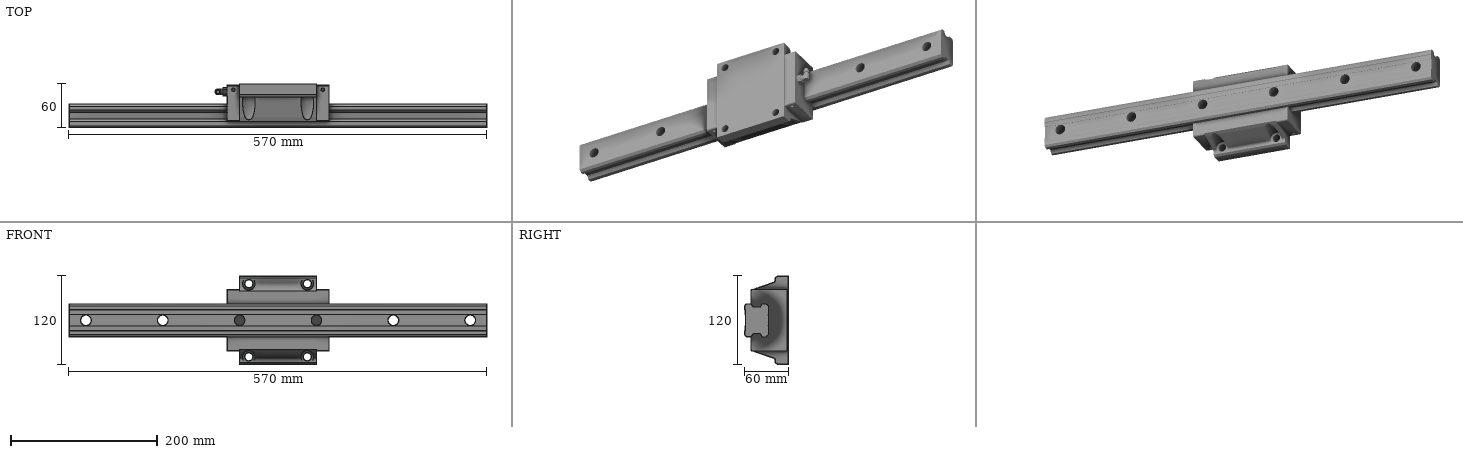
import cadquery as cq
import math


RAIL_LENGTH = 570.0
RAIL_HEIGHT = 32.5
RAIL_WIDTH = 45.0
RAIL_FACE_WIDTH = 39.5
WAIST_WIDTH = 36.0
FOOT_CHAMFER_TOP = 2.0
FOOT_TOP = 8.5
WAIST_BOTTOM = 12.0
WAIST_TOP = 21.0
HEAD_BOTTOM = 24.0
HEAD_CHAMFER_BOTTOM = 29.0

RELIEF_WIDTH = 29.5
RELIEF_DEPTH = 0.5
STRIP_WIDTH = 15.5
STRIP_DEPTH = 0.3

RAIL_HOLE_COUNT = 6
RAIL_HOLE_PITCH = 105.0
RAIL_HOLE_DIAMETER = 14.0

GUIDE_HEIGHT = 60.0
CARRIAGE_BOTTOM = FOOT_TOP
CARRIAGE_LENGTH = 139.0
BLOCK_LENGTH = 105.5
FLANGE_WIDTH = 120.0
FLANGE_UNDERSIDE = 41.5
FLANGE_CHAMFER_INSET = 2.0
FLANGE_CHAMFER_RISE = 3.5
SLOPE_TOP_WIDTH = 105.0
SLOPE_BOTTOM = 13.5
SLOPE_BOTTOM_WIDTH = 85.5
BLOCK_BOTTOM_WIDTH = 80.5
SLOPE_ROOT_RADIUS = 3.0

CAP_WIDTH = 84.5
CAP_TOP = 58.0
CAP_EDGE_CHAMFER = 1.0
CAP_HOLE_DIAMETER = 4.5
CAP_HOLE_DEPTH = 5.5
CAP_HOLE_SPACING = 122.0
CAP_HOLE_Y = 52.0

MOUNT_HOLE_DIAMETER = 11.0
MOUNT_SPACING_X = 80.0
MOUNT_SPACING_Z = 100.0
SPOTFACE_DIAMETER = 17.0

NIPPLE_Y = 49.0
HEX_FLATS = 10.0
HEX_THICKNESS = 5.5
ELBOW_DIAMETER = 8.0
ELBOW_REACH = 12.5
ELBOW_TOP = 4.5
NECK_DIAMETER = 5.5
NECK_TOP = 7.0
HEAD_TAPER_START = 9.5
NIPPLE_TOP = 13.5
TIP_DIAMETER = 4.5


def extrude_along_x(section, length):
    """Extrude a closed list of (Y, Z) points, centred on X = 0."""
    return cq.Workplane("YZ").polyline(section).close().extrude(length / 2, both=True)


def mirrored_section(half_section):
    """Close a half outline of (Y, Z) points with its mirror image across Z = 0."""
    return half_section + [(y, -z) for y, z in reversed(half_section)]


def box_between(length, bottom, top, width):
    """A box from one Y height to another, centred on X = 0 and Z = 0."""
    return (
        cq.Workplane("XY")
        .box(length, top - bottom, width)
        .translate((0, (bottom + top) / 2, 0))
    )


def make_rail_bar():
    """The grooved rail bar, before its relief and holes."""
    half_section = [
        (0, RAIL_FACE_WIDTH / 2),
        (FOOT_CHAMFER_TOP, RAIL_WIDTH / 2),
        (FOOT_TOP, RAIL_WIDTH / 2),
        (WAIST_BOTTOM, WAIST_WIDTH / 2),
        (WAIST_TOP, WAIST_WIDTH / 2),
        (HEAD_BOTTOM, RAIL_WIDTH / 2),
        (HEAD_CHAMFER_BOTTOM, RAIL_WIDTH / 2),
        (RAIL_HEIGHT, RAIL_FACE_WIDTH / 2),
    ]
    return extrude_along_x(mirrored_section(half_section), RAIL_LENGTH)


def make_rail():
    relief_half_section = [
        (0, RELIEF_WIDTH / 2),
        (RELIEF_DEPTH, RELIEF_WIDTH / 2 - RELIEF_DEPTH),
        (RELIEF_DEPTH, STRIP_WIDTH / 2),
        (RELIEF_DEPTH + STRIP_DEPTH, STRIP_WIDTH / 2),
    ]
    relief = extrude_along_x(mirrored_section(relief_half_section), RAIL_LENGTH)
    holes = (
        cq.Workplane("XZ")
        .rarray(RAIL_HOLE_PITCH, 5.5, RAIL_HOLE_COUNT, 1)
        .circle(RAIL_HOLE_DIAMETER / 2)
        .extrude(-RAIL_HEIGHT)
    )
    return make_rail_bar().cut(relief).cut(holes)


def make_block():
    """The flanged middle of the carriage, with sides sloping in below the flanges."""
    half_section = [
        (CARRIAGE_BOTTOM, BLOCK_BOTTOM_WIDTH / 2),
        (SLOPE_BOTTOM, SLOPE_BOTTOM_WIDTH / 2),
        (FLANGE_UNDERSIDE, SLOPE_TOP_WIDTH / 2),
        (FLANGE_UNDERSIDE, FLANGE_WIDTH / 2 - FLANGE_CHAMFER_INSET),
        (FLANGE_UNDERSIDE + FLANGE_CHAMFER_RISE, FLANGE_WIDTH / 2),
        (GUIDE_HEIGHT, FLANGE_WIDTH / 2),
    ]
    block = extrude_along_x(mirrored_section(half_section), BLOCK_LENGTH)

    def slope_root(side):
        """Select the corner where the slope on one side (-1 or 1 along Z) meets the flange."""
        reach = 0.05
        z = side * SLOPE_TOP_WIDTH / 2
        return cq.selectors.BoxSelector(
            (-BLOCK_LENGTH, FLANGE_UNDERSIDE - reach, z - reach),
            (BLOCK_LENGTH, FLANGE_UNDERSIDE + reach, z + reach),
        )

    return block.edges(slope_root(-1) + slope_root(1)).fillet(SLOPE_ROOT_RADIUS)


def make_mount_cut():
    """Bolt holes through the flanges, each with a spot face cut into the sloping side below."""
    layout = cq.Workplane("XZ").rarray(MOUNT_SPACING_X, MOUNT_SPACING_Z, 2, 2)
    holes = layout.circle(MOUNT_HOLE_DIAMETER / 2).extrude(-GUIDE_HEIGHT)
    spotfaces = layout.circle(SPOTFACE_DIAMETER / 2).extrude(-FLANGE_UNDERSIDE)
    return holes.union(spotfaces)


def make_end_caps():
    """The two end caps, with a blind hole in each of their +Z and -Z sides."""
    caps = box_between(CARRIAGE_LENGTH, CARRIAGE_BOTTOM, CAP_TOP, CAP_WIDTH)
    middle = box_between(BLOCK_LENGTH, CARRIAGE_BOTTOM, CAP_TOP, CAP_WIDTH)
    caps = caps.edges("|X").chamfer(CAP_EDGE_CHAMFER).cut(middle)
    side_holes = (
        cq.Workplane("XY")
        .center(0, CAP_HOLE_Y)
        .rarray(CAP_HOLE_SPACING, 5.5, 2, 1)
        .circle(CAP_HOLE_DIAMETER / 2)
        .extrude(CAP_WIDTH / 2, both=True)
    )
    solid_core = box_between(CARRIAGE_LENGTH, 0, GUIDE_HEIGHT, CAP_WIDTH - 2 * CAP_HOLE_DEPTH)
    return caps.cut(side_holes.cut(solid_core))


def make_carriage():
    block = make_block().cut(make_mount_cut())
    return block.union(make_end_caps()).cut(make_rail_bar())


def make_nipple():
    """Hexagon against the -X cap face, then a stub turning up into a necked upright."""
    cap_face_x = -CARRIAGE_LENGTH / 2
    outward = cq.Workplane("YZ", origin=(cap_face_x, NIPPLE_Y, 0))
    hexagon = outward.polygon(6, HEX_FLATS / math.cos(math.pi / 6)).extrude(-HEX_THICKNESS)
    stub = outward.circle(ELBOW_DIAMETER / 2).extrude(-ELBOW_REACH)
    elbow_bottom = -ELBOW_DIAMETER / 2
    upright_half_section = [
        (0, elbow_bottom),
        (ELBOW_DIAMETER / 2, elbow_bottom),
        (ELBOW_DIAMETER / 2, ELBOW_TOP),
        (NECK_DIAMETER / 2, ELBOW_TOP),
        (NECK_DIAMETER / 2, NECK_TOP),
        (ELBOW_DIAMETER / 2, NECK_TOP),
        (ELBOW_DIAMETER / 2, HEAD_TAPER_START),
        (TIP_DIAMETER / 2, NIPPLE_TOP),
        (0, NIPPLE_TOP),
    ]
    upright = (
        cq.Workplane("XZ", origin=(cap_face_x - ELBOW_REACH, NIPPLE_Y, 0))
        .polyline(upright_half_section)
        .close()
        .revolve(360, (0, 0), (0, 1))
    )
    return hexagon.union(stub).union(upright)


rail = make_rail()
carriage = make_carriage()
nipple = make_nipple()

result = cq.Compound.makeCompound([rail.val(), carriage.val(), nipple.val()])